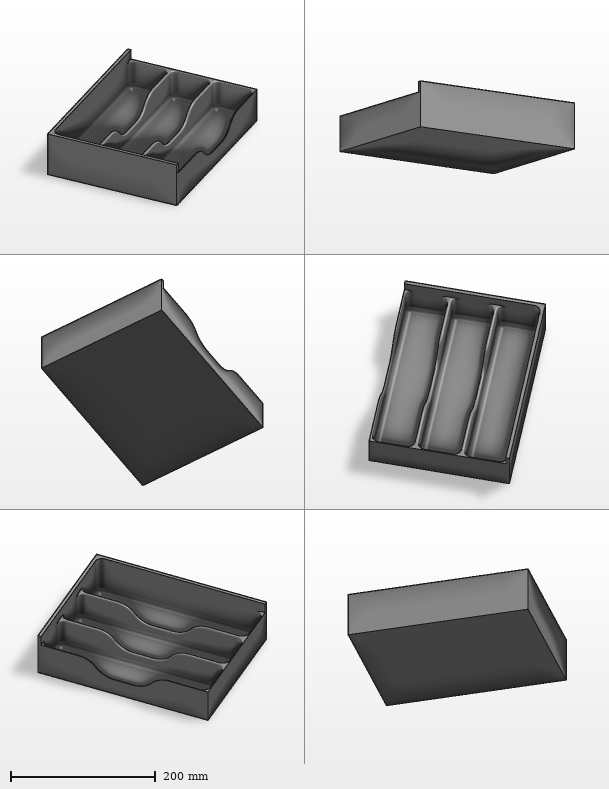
import cadquery as cq
import math

width = 197.5
length = 257.5
height = 65.0

thin_wall = 2.5
wall = 2 * thin_wall
floor_thickness = 5.0
low_height = 50.0

compartment_count = 3
compartment_width = (width - compartment_count * wall - thin_wall) / compartment_count
compartment_length = length - wall - thin_wall
compartment_pitch = compartment_width + wall
compartment_radius = 10.0

rim_radius = 2.47

dip_depth = 25.0
dip_flat = 30.0
dip_radius = 35.0
dip_center_y = wall + compartment_length / 2


def make_box(size_x, size_y, size_z):
    """Box with its lowest corner at the origin."""
    return cq.Workplane("XY").box(size_x, size_y, size_z, centered=False)


def make_compartment(index):
    """Compartment space with rounded upright corners and a rounded floor edge."""
    return (
        make_box(compartment_width, compartment_length, height)
        .edges("|Z or <Z")
        .fillet(compartment_radius)
        .translate((wall + index * compartment_pitch, wall, floor_thickness))
    )


def make_dip():
    """Space of the dip: a flat bottom joined to the rim by S-curves of two equal arcs."""
    half_rise = dip_depth / 2
    arc_run = math.sqrt(dip_radius**2 - (dip_radius - half_rise) ** 2)
    half_angle = math.asin(arc_run / dip_radius) / 2
    mid_run = dip_radius * math.sin(half_angle)
    mid_rise = dip_radius * (1 - math.cos(half_angle))

    bottom = low_height - dip_depth
    middle = bottom + half_rise
    flat_end = dip_flat / 2
    curve_middle = flat_end + arc_run
    curve_end = curve_middle + arc_run

    profile = (
        cq.Workplane("YZ", origin=(wall + compartment_width / 2, dip_center_y, 0))
        .moveTo(-curve_end, low_height)
        .threePointArc((-curve_end + mid_run, low_height - mid_rise), (-curve_middle, middle))
        .threePointArc((-flat_end - mid_run, bottom + mid_rise), (-flat_end, bottom))
        .lineTo(flat_end, bottom)
        .threePointArc((flat_end + mid_run, bottom + mid_rise), (curve_middle, middle))
        .threePointArc((curve_end - mid_run, low_height - mid_rise), (curve_end, low_height))
        .close()
    )
    return profile.extrude(width)


def rim_edges(body, index):
    """Edges around the mouth of one compartment, following the dips."""
    tolerance = 0.03
    lowest_rim = low_height - dip_depth
    left = wall + index * compartment_pitch
    mouth = cq.selectors.BoxSelector(
        (left - tolerance, wall - tolerance, lowest_rim - tolerance),
        (left + compartment_width + tolerance, length - thin_wall + tolerance, low_height + tolerance),
        boundingbox=True,
    )
    return body.edges(mouth).edges("not |Z")


tray = make_box(width, length, low_height).cut(make_dip())
compartments = [make_compartment(index) for index in range(compartment_count)]
for compartment in compartments:
    tray = tray.cut(compartment)

for index in range(compartment_count):
    tray = rim_edges(tray, index).fillet(rim_radius)

left_wall = make_box(wall, length, height)
front_wall = make_box(width, wall, height)
corner_size = wall + compartment_radius
corner = make_box(corner_size, corner_size, height).cut(compartments[0])

result = tray.union(left_wall).union(front_wall).union(corner)